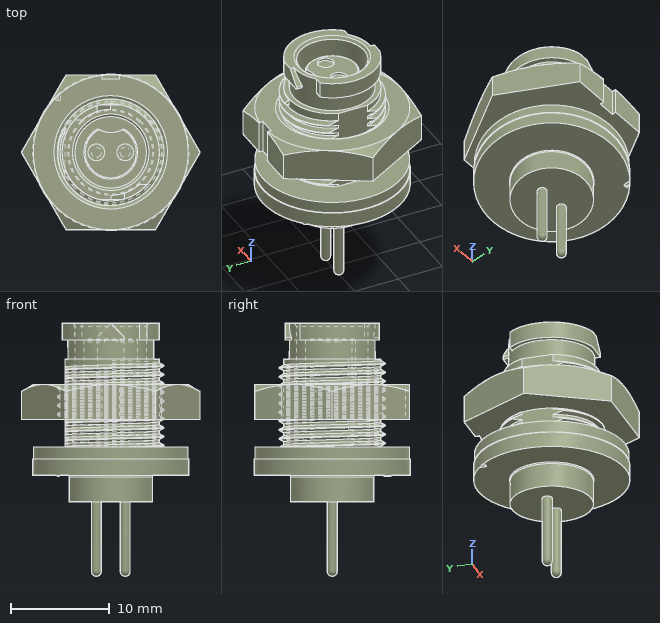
import cadquery as cq
import math

TOP = 15.45
RIM_BOTTOM = 13.72
NECK_BOTTOM = 11.8
FLANGE_TOP = 2.9
FLANGE_STEP = 1.65
BOSS_BOTTOM = -2.7
PIN_TIP = TOP - 25.7

RIM_RADIUS = 4.93
NECK_RADIUS = 4.37
BARREL_RADIUS = 4.93
UPPER_FLANGE_RADIUS = 7.86
LOWER_FLANGE_RADIUS = 7.95
BOSS_RADIUS = 4.25
BOSS_FLARE = 0.05
BOSS_FLARE_HEIGHT = 0.15

THREAD_RADIUS = 5.4
PITCH = 0.9
CREST_WIDTH = 0.08
FLANK_SLOPE = math.tan(math.radians(30))
THREAD_ROOT_SINK = 0.08
THREAD_START_ANGLE = 90.0
THREAD_TOP = TOP - 4.09
BARREL_FLAT = 4.65

RIM_FLAT = 4.78
SLOT_WALL = 3.26
RAMP_RUN = 1.41
RAMP_DROP = 1.46
RAMP_NOSE = 0.08

SOCKET_RADIUS = 3.62
SOCKET_DEPTH = 6.17
SOCKET_CHAMFER = 0.25
SOCKET_CHAMFER_HEIGHT = 0.3
INSERT_RADIUS = 2.72
INSERT_RECESS = 1.62
INSERT_CHAMFER = 0.13
KEYWAY_RADIUS = 2.5
KEYWAY_FLOOR = 2.0
CONTACT_RADIUS = 0.85
CONTACT_DEPTH = 0.28
CONTACT_OFFSET = 1.46
PIN_RADIUS = 0.51

RIDGE_X = -5.35
RIDGE_Y_START = 5.27
RIDGE_Y_END = 6.42
RIDGE_HALF_WIDTH = 0.23
RIDGE_HEIGHT = 0.1

NUT_BOTTOM = 5.65
NUT_TOP = 9.23
NUT_ACROSS_CORNERS = 18.17
NUT_BEVEL_ANGLE = 30.0
NUT_BORE_RADIUS = 5.15
NUT_MOUTH_RADIUS = 5.75
NUT_MOUTH_ANGLE = 30.0
NUT_NOTCH_WIDTH = 1.82
NUT_NOTCH_DEPTH = 0.44
THREAD_CLEARANCE = 0.03
GROOVE_OVERRUN_TURNS = 1


def cylinder(radius, bottom, top, x=0.0, y=0.0):
    return cq.Workplane("XY", origin=(x, y, bottom)).circle(radius).extrude(top - bottom)


def centered_block(x_size, y_size, bottom, top):
    return cq.Workplane("XY", origin=(0, 0, bottom)).rect(x_size, y_size).extrude(top - bottom)


def cone(bottom_radius, top_radius, bottom, top):
    outline = [(0, bottom), (bottom_radius, bottom), (top_radius, top), (0, top)]
    return cq.Workplane("XZ").polyline(outline).close().revolve(360, (0, 0), (0, 1))


def thread_ridge(clearance, turns, top_crest):
    """Right-handed V ridge whose upper end is at the start angle, with its crest at top_crest."""
    root = BARREL_RADIUS - THREAD_ROOT_SINK
    crest = THREAD_RADIUS + clearance
    crest_half = CREST_WIDTH / 2 + clearance
    root_half = crest_half + (crest - root) * FLANK_SLOPE
    height = turns * PITCH
    path = cq.Wire.makeHelix(PITCH, height, BARREL_RADIUS)
    profile = [(root, -root_half), (crest, -crest_half), (crest, crest_half), (root, root_half)]
    ridge = cq.Workplane("XZ").polyline(profile).close().sweep(cq.Workplane(path), isFrenet=True)
    ridge = ridge.rotate((0, 0, 0), (0, 0, 1), THREAD_START_ANGLE)
    return ridge.translate((0, 0, top_crest - height))


def threaded_barrel():
    barrel = cylinder(BARREL_RADIUS, 0, NECK_BOTTOM)
    turns = math.floor((THREAD_TOP - PITCH) / PITCH)
    barrel = barrel.union(thread_ridge(0, turns, THREAD_TOP))
    beyond_flat = centered_block(THREAD_RADIUS, 2 * THREAD_RADIUS, 0, TOP)
    return barrel.cut(beyond_flat.translate((-BARREL_FLAT - THREAD_RADIUS / 2, 0, 0)))


def bayonet_slot():
    """Slot on the -Y side, open at the top, between a sloping ramp and a wall parallel to XZ."""
    outline = [
        (0, TOP),
        (RAMP_RUN, TOP - RAMP_DROP),
        (RAMP_RUN - RAMP_NOSE, RIM_BOTTOM),
        (RIM_RADIUS, RIM_BOTTOM),
        (RIM_RADIUS, TOP),
    ]
    slot = cq.Workplane("XZ", origin=(0, -SLOT_WALL, 0)).polyline(outline).close().extrude(RIM_RADIUS)
    return slot.cut(cylinder(NECK_RADIUS, 0, TOP))


def bayonet_rim():
    rim = cylinder(RIM_RADIUS, RIM_BOTTOM, TOP)
    rim = rim.intersect(centered_block(3 * RIM_RADIUS, 2 * RIM_FLAT, RIM_BOTTOM, TOP))
    for angle in (0, 180):
        rim = rim.cut(bayonet_slot().rotate((0, 0, 0), (0, 0, 1), angle))
    return rim


def socket():
    bore = cylinder(SOCKET_RADIUS, TOP - SOCKET_DEPTH, TOP)
    mouth_radius = SOCKET_RADIUS + SOCKET_CHAMFER
    return bore.union(cone(SOCKET_RADIUS, mouth_radius, TOP - SOCKET_CHAMFER_HEIGHT, TOP))


def insert():
    face = TOP - INSERT_RECESS
    floor = TOP - SOCKET_DEPTH
    body = cylinder(INSERT_RADIUS, floor, face).faces(">Z").chamfer(INSERT_CHAMFER)
    body = body.cut(cylinder(KEYWAY_RADIUS, floor, face, y=KEYWAY_FLOOR + KEYWAY_RADIUS))
    for x in (-CONTACT_OFFSET, CONTACT_OFFSET):
        body = body.cut(cylinder(CONTACT_RADIUS, face - CONTACT_DEPTH, face, x=x))
    return body


def pin(x):
    """Straight pin with a hemispherical tip."""
    tip_center = PIN_TIP + PIN_RADIUS
    tip = cq.Workplane("XY", origin=(x, 0, tip_center)).sphere(PIN_RADIUS)
    return cylinder(PIN_RADIUS, tip_center, BOSS_BOTTOM, x=x).union(tip)


def underside_ridge():
    """Triangular ridge along Y, trimmed to the rim of the flange."""
    outline = [(RIDGE_X - RIDGE_HALF_WIDTH, 0), (RIDGE_X + RIDGE_HALF_WIDTH, 0), (RIDGE_X, -RIDGE_HEIGHT)]
    ridge = cq.Workplane("XZ", origin=(0, RIDGE_Y_END, 0)).polyline(outline).close()
    ridge = ridge.extrude(RIDGE_Y_END - RIDGE_Y_START)
    return ridge.intersect(cylinder(LOWER_FLANGE_RADIUS, -RIDGE_HEIGHT, 0))


def make_connector():
    body = threaded_barrel()
    body = body.union(cylinder(LOWER_FLANGE_RADIUS, 0, FLANGE_STEP))
    body = body.union(cylinder(UPPER_FLANGE_RADIUS, FLANGE_STEP, FLANGE_TOP))
    body = body.union(cylinder(BOSS_RADIUS, BOSS_BOTTOM, -BOSS_FLARE_HEIGHT))
    body = body.union(cone(BOSS_RADIUS, BOSS_RADIUS + BOSS_FLARE, -BOSS_FLARE_HEIGHT, 0))
    body = body.union(cylinder(NECK_RADIUS, NECK_BOTTOM, TOP)).union(bayonet_rim())
    body = body.cut(socket()).union(insert())
    for x in (-CONTACT_OFFSET, CONTACT_OFFSET):
        body = body.union(pin(x))
    return body.union(underside_ridge())


def nut_thread_core():
    """Space inside the nut: its bore and a groove in step with the barrel's thread."""
    turns_below_start = math.floor((THREAD_TOP - NUT_TOP) / PITCH) - GROOVE_OVERRUN_TURNS
    groove_top = THREAD_TOP - turns_below_start * PITCH
    turns = math.ceil((groove_top - NUT_BOTTOM) / PITCH) + GROOVE_OVERRUN_TURNS
    groove = thread_ridge(THREAD_CLEARANCE, turns, groove_top)
    return cylinder(NUT_BORE_RADIUS, NUT_BOTTOM - PITCH, NUT_TOP + PITCH).union(groove)


def make_nut():
    height = NUT_TOP - NUT_BOTTOM
    nut = cq.Workplane("XY", origin=(0, 0, NUT_BOTTOM)).polygon(6, NUT_ACROSS_CORNERS).extrude(height)

    flat_distance = NUT_ACROSS_CORNERS / 2 * math.cos(math.pi / 6)
    bevel_base = flat_distance + height / math.tan(math.radians(NUT_BEVEL_ANGLE))
    nut = nut.intersect(cone(bevel_base, flat_distance, NUT_BOTTOM, NUT_TOP))

    nut = nut.cut(nut_thread_core())
    mouth_depth = (NUT_MOUTH_RADIUS - NUT_BORE_RADIUS) * math.tan(math.radians(NUT_MOUTH_ANGLE))
    nut = nut.cut(cone(NUT_BORE_RADIUS, NUT_MOUTH_RADIUS, NUT_TOP - mouth_depth, NUT_TOP))

    notch = centered_block(NUT_NOTCH_WIDTH, 2 * NUT_NOTCH_DEPTH, NUT_BOTTOM, NUT_TOP)
    return nut.cut(notch.translate((0, flat_distance, 0)))


connector = make_connector()
nut = make_nut()

result = cq.Compound.makeCompound([connector.val(), nut.val()])